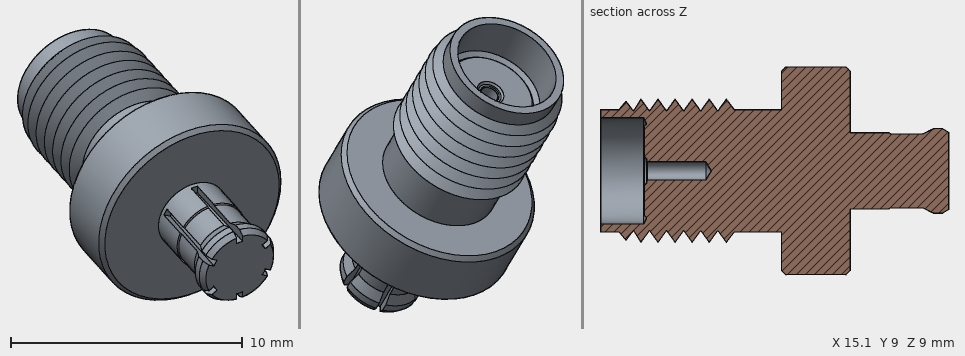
import cadquery as cq
import math

total_length = 15.05

flange_radius = 4.5
flange_start = 7.81
flange_length = 2.98
flange_chamfer = 0.2
flange_end = flange_start + flange_length

barrel_radius = 2.65
thread_start = 0.8
thread_end = 5.78
first_crest_x = 1.1
first_crest_radius = 3.01
second_crest_x = 1.75
full_crest_count = 6
crest_radius = 3.1
root_radius = 2.59
thread_pitch = 0.74

bore_radius = 2.29
bore_depth = 1.87
seat_radius = 2.03
seat_depth = 1.99
insulator_chamfer = 0.09
insulator_face_x = seat_depth - insulator_chamfer

contact_mouth_radius = 0.62
contact_ledge_radius = 0.53
contact_bore_radius = 0.39
contact_bore_chamfer = 0.05
contact_bore_length = 2.56
drill_tip_angle = 118.0
ledge_x = insulator_face_x + contact_mouth_radius - contact_ledge_radius

sleeve_radius = 1.65
neck_radius = 1.61
neck_start = 12.46
neck_step_length = 0.06
lip_radius = 1.84
lip_ramp_start = 13.92
lip_start = 14.4
lip_end = 14.76
tip_radius = 1.67

slot_count = 6
slot_width = 0.3
slot_start = 11.0
core_start_radius = 1.3
core_tip_radius = 1.38


def turned(half_profile):
    """Revolve a closed (x, radius) profile about the X axis."""
    return cq.Workplane("XY").polyline(half_profile).close().revolve(360, (0, 0, 0), (1, 0, 0))


def thread_points():
    """Profile of the ridged thread, from its first flank to its last one."""
    crests = [(first_crest_x, first_crest_radius)]
    for i in range(full_crest_count):
        crests.append((second_crest_x + i * thread_pitch, crest_radius))
    points = [(thread_start, barrel_radius), crests[0]]
    for previous, crest in zip(crests, crests[1:]):
        points.append(((previous[0] + crest[0]) / 2, root_radius))
        points.append(crest)
    points.append((thread_end, barrel_radius))
    return points


def outer_body():
    """Solid of revolution with the whole outer outline."""
    barrel = [(0, 0), (0, barrel_radius)] + thread_points() + [(flange_start, barrel_radius)]
    flange = [
        (flange_start, flange_radius - flange_chamfer),
        (flange_start + flange_chamfer, flange_radius),
        (flange_end - flange_chamfer, flange_radius),
        (flange_end, flange_radius - flange_chamfer),
    ]
    sleeve = [
        (flange_end, sleeve_radius),
        (neck_start, sleeve_radius),
        (neck_start + neck_step_length, neck_radius),
        (lip_ramp_start, neck_radius),
        (lip_start, lip_radius),
        (lip_end, lip_radius),
        (total_length, tip_radius),
        (total_length, 0),
    ]
    return turned(barrel + flange + sleeve)


def socket_bore():
    """Space inside the barrel, ending at the chamfered insulator face and the contact hole."""
    bore_end = ledge_x + contact_bore_length
    drill_tip = contact_bore_radius / math.tan(math.radians(drill_tip_angle / 2))
    return turned([
        (0, 0),
        (0, bore_radius),
        (bore_depth, bore_radius),
        (seat_depth, seat_radius),
        (insulator_face_x, seat_radius - insulator_chamfer),
        (insulator_face_x, contact_mouth_radius),
        (ledge_x, contact_ledge_radius),
        (ledge_x, contact_bore_radius + contact_bore_chamfer),
        (ledge_x + contact_bore_chamfer, contact_bore_radius),
        (bore_end, contact_bore_radius),
        (bore_end + drill_tip, 0),
    ])


def finger_slot():
    """Radial slot on the +Z side, open at the sleeve tip, with its floor on the tapered core."""
    core = turned([
        (slot_start, 0),
        (slot_start, core_start_radius),
        (total_length, core_tip_radius),
        (total_length, 0),
    ])
    slot_length = total_length - slot_start
    blade = cq.Workplane("XY").box(slot_length, slot_width, flange_radius, centered=(False, True, False))
    return blade.translate((slot_start, 0, 0)).cut(core)


result = outer_body().cut(socket_bore())
slot = finger_slot()
for i in range(slot_count):
    result = result.cut(slot.rotate((0, 0, 0), (1, 0, 0), i * 360 / slot_count))